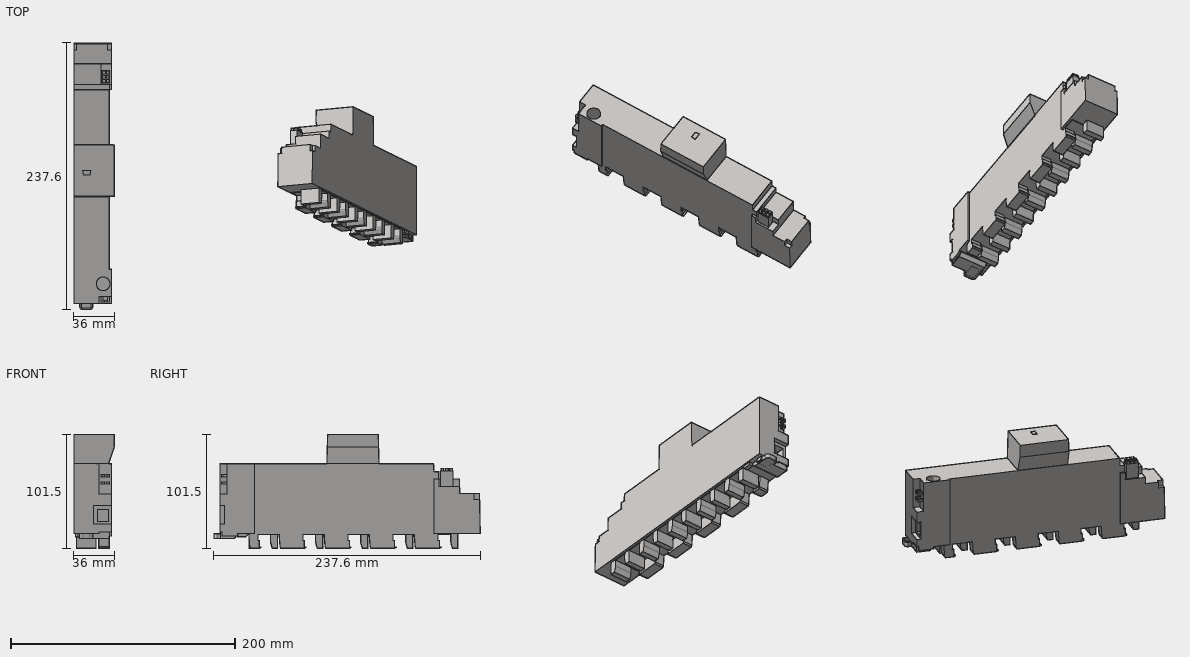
import cadquery as cq


body_width = 33.5
body_length = 232.26
body_top = 62.5
rear_top = 35.9
middle_step_z = 48.8
upper_step_z = 55.3
rear_step_y = 213.8
terminal_step_y = 195.2
upper_step_y = 190.8
draft = 0.7
step_draft = 0.4
side_relief_depth = 2.0
side_relief_start = 30.8
relief_x = body_width - side_relief_depth

head_width = 36.0
head_top = 88.5
head_front_y = 95.3
head_rear_y = 142.0
head_base_width = 31.0
head_slope_top = 77.1

mark_center_x = 11.4
mark_rear_y = 118.6
mark_front_y = 114.5
mark_rear_width = 7.2
mark_front_width = 5.8
mark_depth = 0.3

notch_length = 5.2
notch_height = 5.6
left_notch_width = 2.2
right_notch_width = 3.6

terminal_recess_x = 24.2
terminal_recess_z = 42.0
terminal_left = 25.2
terminal_right = 31.7
terminal_front = 196.6
terminal_rear = 208.0
terminal_top = 56.0
terminal_pin_height = 2.3
terminal_pin_width = 2.4
terminal_pin_length = 2.6
terminal_pin_pitch = 3.85
terminal_pin_rows = 3
terminal_pin_inset = 0.3

contact_pocket_x = 22.2
contact_pocket_z = 35.2
contact_pocket_depth = 6.4
contact_center_x = 27.9
contact_span = 7.9
contact_thickness = 2.0
contact_foot_length = 3.1
contact_foot_thickness = 1.5
contact_reach = 5.0
contact_bend_radius = 1.2
contact_heights = (45.2, 51.6)

connector_x = 17.2
connector_bottom = 8.7
connector_top = 25.1
connector_depth = 4.0
socket_left = 21.2
socket_right = 30.6
socket_bottom = 10.9
socket_top = 21.6
socket_depth = 12.0

well_x = 26.0
well_y = 17.7
well_diameter = 12.2
well_depth = 20.0

base_thickness = 0.8
base_left = 2.2
base_front = 32.0
base_rear = 206.0
overall_height = 101.52
foot_bottom = head_top - overall_height
leg_pitch = 40.15
leg_count = 5
leg_left = 2.2
leg_right = 19.8
leg_depth = 6.5
leg_tip_depth = 4.9
leg_shoulder_z = -7.2
leg_bulge = 0.35
rear_leg_y = 212.2
mirrored_leg_front_y = 186.4
clip_left = 21.9
clip_right = 31.5
clip_length = 21.5
clip_front_draft = 0.9
clip_chamfer_height = 1.6
clip_chamfer_depth = 0.7
clip_neck_offset = 8.2
clip_shoulder_z = -6.0
clip_shoulder_depth = 1.3
hook_height = 1.4
hook_reach = 1.5

latch_bottom = -4.3
latch_left = 5.0
latch_right = 16.9
latch_rear = 16.0
latch_ramp_y = 13.0
overall_length = 237.56
latch_tip_y = body_length - overall_length
latch_wall = 1.5
latch_corner = 3.0
latch_opening_rear = 8.0
latch_floor = 1.0
slab_setback = 0.5
slab_step_x = contact_pocket_x
slab_top = 1.4
slab_right = 31.5
rail_left = 1.2
rail_bottom = -2.9
rail_front = 15.5
rail_rear = 25.5
rail_ramp = 2.3
tab_bottom = -2.1
tab_setback = 2.0
lug_left = 3.8
lug_front = 2.2
lug_rear = 8.2
lug_bottom = -3.5


def box(x0, x1, y0, y1, z0, z1):
    """Box between two opposite corners."""
    return cq.Workplane("XY").box(x1 - x0, y1 - y0, z1 - z0, centered=False).translate((x0, y0, z0))


def side_prism(points, x0, x1):
    """Extrude an outline of (y, z) points from x0 to x1."""
    return cq.Workplane("YZ").workplane(offset=x0).polyline(points).close().extrude(x1 - x0)


def make_housing():
    outline = [
        (0, 0),
        (0, body_top),
        (upper_step_y - step_draft / 2, body_top),
        (upper_step_y + step_draft / 2, upper_step_z),
        (terminal_step_y, upper_step_z),
        (terminal_step_y, middle_step_z),
        (rear_step_y - step_draft / 2, middle_step_z),
        (rear_step_y + step_draft / 2, rear_top),
        (body_length - draft, rear_top),
        (body_length, 0),
    ]
    housing = side_prism(outline, 0, body_width)
    housing = housing.cut(box(relief_x, body_width, side_relief_start, upper_step_y, 0, body_top))
    housing = housing.cut(box(relief_x, body_width, upper_step_y, terminal_step_y, middle_step_z, body_top))
    notch_front = body_length - draft - notch_length
    notch_bottom = rear_top - notch_height
    housing = housing.cut(box(0, left_notch_width, notch_front, body_length, notch_bottom, rear_top))
    right_notch_x = body_width - right_notch_width
    return housing.cut(box(right_notch_x, body_width, notch_front, body_length, notch_bottom, rear_top))


def make_head():
    section = [
        (0, body_top),
        (0, head_top),
        (head_width, head_top),
        (head_width, head_slope_top),
        (head_base_width, body_top),
    ]
    head = cq.Workplane("XZ").polyline(section).close().extrude(-body_length)
    envelope = [
        (head_front_y, body_top),
        (head_front_y + draft, head_top),
        (head_rear_y - draft, head_top),
        (head_rear_y, body_top),
    ]
    head = head.intersect(side_prism(envelope, 0, head_width))
    mark = [
        (mark_center_x - mark_rear_width / 2, mark_rear_y),
        (mark_center_x + mark_rear_width / 2, mark_rear_y),
        (mark_center_x + mark_front_width / 2, mark_front_y),
        (mark_center_x - mark_front_width / 2, mark_front_y),
    ]
    mark_cut = cq.Workplane("XY").workplane(offset=head_top).polyline(mark).close().extrude(-mark_depth)
    return head.cut(mark_cut)


def cut_front_openings(housing):
    housing = housing.cut(
        box(contact_pocket_x, body_width, 0, contact_pocket_depth, contact_pocket_z, body_top)
    )
    housing = housing.cut(
        box(connector_x, body_width, 0, connector_depth, connector_bottom, connector_top)
    )
    housing = housing.cut(box(socket_left, socket_right, 0, socket_depth, socket_bottom, socket_top))
    housing = housing.cut(box(slab_step_x, slab_right, 0, slab_setback, 0, slab_top))
    housing = housing.cut(box(slab_right, body_width, 0, tab_setback, 0, slab_top))
    well = cq.Workplane("XY").center(well_x, well_y).circle(well_diameter / 2).extrude(-well_depth)
    return housing.cut(well.translate((0, 0, body_top)))


def make_contact(direction, height):
    """L-shaped contact; direction +1 turns its foot toward +X, -1 toward -X."""
    outer = contact_center_x - direction * contact_span / 2
    tip_y = contact_pocket_depth - contact_reach
    stem_inner = outer + direction * contact_thickness
    foot_end = outer + direction * contact_foot_length
    outline = [
        (outer, contact_pocket_depth),
        (outer, tip_y),
        (foot_end, tip_y),
        (foot_end, tip_y + contact_foot_thickness),
        (stem_inner, tip_y + contact_foot_thickness),
        (stem_inner, contact_pocket_depth),
    ]
    contact = cq.Workplane("XY").polyline(outline).close().extrude(contact_thickness)
    bend = cq.selectors.NearestToPointSelector((outer, tip_y, contact_thickness / 2))
    contact = contact.edges("|Z").edges(bend).fillet(contact_bend_radius)
    return contact.translate((0, 0, height - contact_thickness / 2))


def add_terminal(housing):
    """Sink the right part of the middle step and stand the terminal block in it."""
    recess_rear = rear_step_y + step_draft
    housing = housing.cut(
        box(terminal_recess_x, body_width, terminal_step_y, recess_rear, terminal_recess_z, middle_step_z)
    )
    housing = housing.union(
        box(terminal_left, terminal_right, terminal_front, terminal_rear, terminal_recess_z, terminal_top)
    )
    left_pin_x = terminal_left + terminal_pin_inset
    right_pin_x = terminal_right - terminal_pin_inset - terminal_pin_width
    middle_y = (terminal_front + terminal_rear) / 2
    for row in range(terminal_pin_rows):
        row_center = middle_y + (row - (terminal_pin_rows - 1) / 2) * terminal_pin_pitch
        pin_y = row_center - terminal_pin_length / 2
        for pin_x in (left_pin_x, right_pin_x):
            housing = housing.union(box(
                pin_x, pin_x + terminal_pin_width,
                pin_y, pin_y + terminal_pin_length,
                terminal_top, terminal_top + terminal_pin_height,
            ))
    return housing


def make_leg(flat_y, direction):
    """Leg with a flat face at flat_y; its tapered face lies on the given side along Y."""
    shoulder = (flat_y + direction * leg_depth, leg_shoulder_z)
    tip = (flat_y + direction * leg_tip_depth, foot_bottom)
    bulge = (
        flat_y + direction * (leg_depth + leg_tip_depth + leg_bulge) / 2,
        (leg_shoulder_z + foot_bottom) / 2,
    )
    profile = (
        cq.Workplane("YZ")
        .workplane(offset=leg_left)
        .moveTo(flat_y, 0)
        .lineTo(flat_y + direction * leg_depth, 0)
        .lineTo(*shoulder)
        .threePointArc(bulge, tip)
        .lineTo(flat_y, foot_bottom)
        .close()
    )
    return profile.extrude(leg_right - leg_left)


def make_clip(leg_front_y, front_y):
    """Clip with a rear hook, reaching forward to front_y."""
    neck_y = leg_front_y + clip_neck_offset
    shank_y = neck_y + clip_shoulder_depth
    toe_y = shank_y + hook_reach
    outline = [
        (neck_y, 0),
        (neck_y, clip_shoulder_z),
        (shank_y, clip_shoulder_z),
        (shank_y, foot_bottom + hook_height),
        (toe_y, foot_bottom + hook_height),
        (toe_y, foot_bottom + hook_height / 2),
        (shank_y, foot_bottom),
        (front_y + clip_front_draft + clip_chamfer_depth, foot_bottom),
        (front_y + clip_front_draft, foot_bottom + clip_chamfer_height),
        (front_y, 0),
    ]
    return side_prism(outline, clip_left, clip_right)


def make_underside():
    underside = box(base_left, clip_right, base_front, base_rear, -base_thickness, 0)
    for index in range(leg_count):
        offset = index * leg_pitch
        mirrored_front = mirrored_leg_front_y - offset
        underside = underside.union(make_leg(rear_leg_y - offset, -1))
        underside = underside.union(make_leg(mirrored_front, 1))
        is_foremost = index == leg_count - 1
        clip_front = mirrored_front if is_foremost else mirrored_front + clip_neck_offset - clip_length
        underside = underside.union(make_clip(mirrored_front, clip_front))
    return underside


def make_latch():
    tongue = box(latch_left, latch_right, latch_tip_y, latch_rear, latch_bottom, 0)
    tongue = tongue.edges("|Z and <Y").fillet(latch_corner)
    opening = box(
        latch_left + latch_wall, latch_right - latch_wall,
        latch_tip_y + latch_wall, latch_opening_rear,
        latch_bottom + latch_floor, 0,
    )
    opening = opening.edges("|Z and <Y").fillet(latch_corner - latch_wall)
    tongue = tongue.cut(opening)
    slab = box(latch_right, slab_right, slab_setback, latch_rear, latch_bottom, 0)
    slab = slab.union(box(slab_step_x, slab_right, slab_setback, latch_rear, 0, slab_top))
    latch = tongue.union(slab)
    ramp = side_prism(
        [(latch_ramp_y, latch_bottom), (latch_rear, latch_bottom), (latch_rear, -base_thickness)],
        latch_left, slab_right,
    )
    latch = latch.cut(ramp)
    rail = side_prism(
        [
            (rail_front, 0),
            (rail_front, rail_bottom),
            (rail_rear - rail_ramp, rail_bottom),
            (rail_rear, 0),
        ],
        rail_left, latch_left,
    )
    tab = box(slab_right, body_width, tab_setback, latch_rear, tab_bottom, 0)
    lug = box(lug_left, latch_left, lug_front, lug_rear, lug_bottom, 0)
    return latch.union(rail).union(tab).union(lug)


housing = cut_front_openings(make_housing())
housing = add_terminal(housing)
for contact_height in contact_heights:
    for contact_direction in (1, -1):
        housing = housing.union(make_contact(contact_direction, contact_height))

result = housing.union(make_head()).union(make_underside()).union(make_latch())